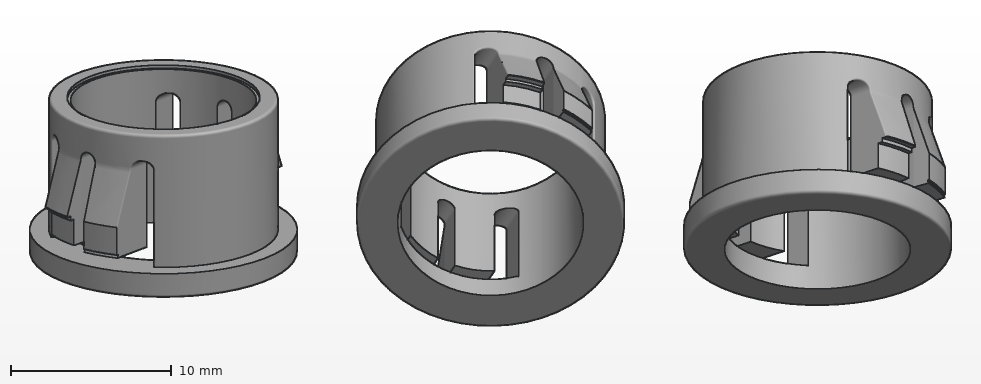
import cadquery as cq
import math


total_height = 10.32
flange_radius = 16.67 / 2
flange_height = 1.6
tube_radius = 14.29 / 2
bore_radius = 5.79
rim_round = 0.2
bore_recess_radius = 6.0
bore_recess_depth = 0.2

slot_width = 1.19
slot_top = 8.55
side_slot_x = 3.57
side_slot_edge_round = 0.1

finger_bottom = 2.43
finger_radius = flange_radius
ramp_bottom = 4.47
ramp_bend_top = 8.07
ramp_bend_corner = 7.915

undercut_steps = [(4.40, 8.03), (4.13, 7.75)]
foot_relief_top = 2.64
foot_relief_top_depth = 0.12
foot_relief_bottom_depth = 0.05

cut_reach = 2 * flange_radius
slot_spring = slot_top - slot_width / 2
tolerance = 1e-3


def make_ring(inner_radius, outer_radius, bottom, top):
    """Plain ring around Z."""
    ring = cq.Workplane("XY").workplane(offset=bottom).circle(outer_radius).circle(inner_radius)
    return ring.extrude(top - bottom)


def make_box(x_min, x_max, y_min, y_max, z_min, z_max):
    """Axis-aligned box given by its limits."""
    box = cq.Workplane("XY").box(x_max - x_min, y_max - y_min, z_max - z_min, centered=False)
    return box.translate((x_min, y_min, z_min))


def make_bushing():
    """Flange and tube, with the outer rims rounded and the bore recessed at the top."""
    flange = make_ring(bore_radius, flange_radius, 0, flange_height)
    flange = flange.faces("<Z").edges(cq.selectors.RadiusNthSelector(1)).fillet(rim_round)
    tube = make_ring(bore_radius, tube_radius, flange_height, total_height)
    tube = tube.faces(">Z").edges(cq.selectors.RadiusNthSelector(1)).fillet(rim_round)
    recess = make_ring(bore_radius, bore_recess_radius, total_height - bore_recess_depth, total_height)
    return flange.union(tube).cut(recess)


def make_barbs():
    """Conical ramp flaring below the tube wall, kept only across the two finger pairs.

    The cone runs on to the finger bottom; trim_fingers later cuts it to the finger radius.
    """
    flare = (finger_radius - tube_radius) / (ramp_bend_corner - ramp_bottom)

    def ramp_radius(height):
        return tube_radius + flare * (ramp_bend_corner - height)

    flare_angle = math.atan(flare)
    bend_bottom = ramp_bend_corner - (ramp_bend_top - ramp_bend_corner) * math.cos(flare_angle)
    bend_radius = (ramp_bend_top - ramp_bend_corner) / math.tan(flare_angle / 2)
    bend_middle = (
        tube_radius + bend_radius * (1 - math.cos(flare_angle / 2)),
        ramp_bend_top - bend_radius * math.sin(flare_angle / 2),
    )

    core_radius = (bore_radius + tube_radius) / 2
    profile = (
        cq.Workplane("XZ")
        .moveTo(core_radius, finger_bottom)
        .lineTo(core_radius, ramp_bend_top)
        .lineTo(tube_radius, ramp_bend_top)
        .threePointArc(bend_middle, (ramp_radius(bend_bottom), bend_bottom))
        .lineTo(ramp_radius(finger_bottom), finger_bottom)
        .close()
    )
    cone = profile.revolve(360, (0, 0, 0), (0, 1, 0))
    finger_band = make_box(-side_slot_x, side_slot_x, -cut_reach, cut_reach, 0, total_height)
    return cone.intersect(finger_band)


def make_slot(center_x):
    """Round-topped slot through both walls, open down to the flange."""
    half_width = slot_width / 2
    return (
        cq.Workplane("XZ")
        .moveTo(center_x - half_width, flange_height)
        .lineTo(center_x - half_width, slot_spring)
        .threePointArc((center_x, slot_top), (center_x + half_width, slot_spring))
        .lineTo(center_x + half_width, flange_height)
        .close()
        .extrude(cut_reach, both=True)
    )


def round_side_slots(part):
    """Round the outer edges of the side slots, on the tube wall and on the ramps."""
    side_slot_inner_x = side_slot_x - slot_width / 2
    side_slot_outer_x = side_slot_x + slot_width / 2

    def is_outer_slot_edge(edge):
        points = [edge.positionAt(fraction) for fraction in (0, 0.5, 1)]
        in_slot = all(
            side_slot_inner_x - tolerance < abs(point.x) < side_slot_outer_x + tolerance for point in points
        )
        outside = all(math.hypot(point.x, point.y) > tube_radius - tolerance for point in points)
        above_feet = max(point.z for point in points) > ramp_bottom
        return in_slot and outside and above_feet

    outer_edges = [edge for edge in part.edges().vals() if is_outer_slot_edge(edge)]
    return part.newObject(outer_edges).fillet(side_slot_edge_round)


def trim_fingers(part):
    """Cut the barbs to the finger radius and give the gap in each pair radial sides outside the tube."""
    part = part.cut(make_ring(finger_radius, cut_reach, flange_height, total_height))
    half_gap = slot_width / 2
    wall_y = math.sqrt(tube_radius**2 - half_gap**2)
    outer_half_gap = half_gap * cut_reach / wall_y
    for side in (1, -1):
        gap = (
            cq.Workplane("XY")
            .workplane(offset=flange_height)
            .polyline(
                [
                    (-half_gap, side * wall_y),
                    (half_gap, side * wall_y),
                    (outer_half_gap, side * cut_reach),
                    (-outer_half_gap, side * cut_reach),
                ]
            )
            .close()
            .extrude(slot_spring - flange_height)
        )
        part = part.cut(gap)
    return part


def make_foot_relief():
    """Ring with a conical inner face that undercuts the finger foot."""
    profile = (
        cq.Workplane("XZ")
        .moveTo(finger_radius - foot_relief_bottom_depth, finger_bottom)
        .lineTo(finger_radius - foot_relief_top_depth, foot_relief_top)
        .lineTo(cut_reach, foot_relief_top)
        .lineTo(cut_reach, finger_bottom)
        .close()
    )
    return profile.revolve(360, (0, 0, 0), (0, 1, 0))


def cut_finger_steps(part):
    """Step the fingers; the part repeats under a half turn about Z."""
    stepped = make_box(-side_slot_x, 0, -cut_reach, 0, 0, total_height)
    footed = make_box(0, side_slot_x, -cut_reach, 0, 0, total_height)
    for half_turn in (0, 180):
        for step_top, step_radius in undercut_steps:
            ledge = make_ring(step_radius, cut_reach, flange_height, step_top).intersect(stepped)
            part = part.cut(ledge.rotate((0, 0, 0), (0, 0, 1), half_turn))
        foot = make_foot_relief().intersect(footed)
        part = part.cut(foot.rotate((0, 0, 0), (0, 0, 1), half_turn))
    return part


result = make_bushing().union(make_barbs())
for slot_x in (-side_slot_x, 0, side_slot_x):
    result = result.cut(make_slot(slot_x))
result = result.cut(
    make_box(-side_slot_x, side_slot_x, -cut_reach, cut_reach, flange_height, finger_bottom)
)
result = round_side_slots(result)
result = trim_fingers(result)
result = cut_finger_steps(result)